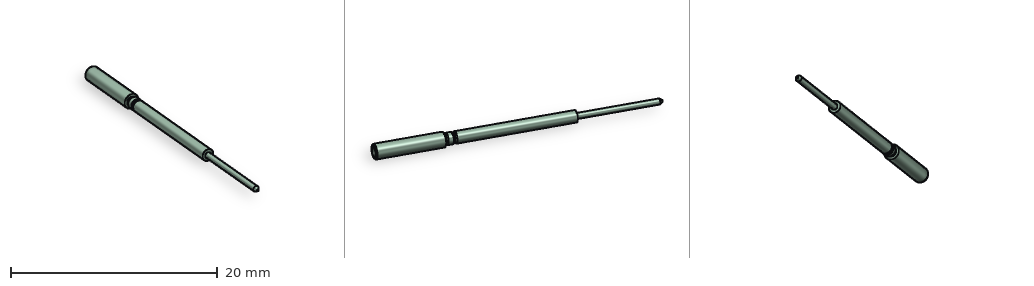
import cadquery as cq
import math

total_length = 29.77
sleeve_length = 7.17
neck_length = 0.2
shoulder_length = 0.15
band_length = 0.55
body_end = 20.85
tip_length = 0.33

sleeve_diameter = 1.58
body_diameter = 1.25
neck_diameter = 1.0
pin_diameter = 0.63
tip_diameter = 0.2

rim_chamfer = 0.12
bore_diameter = 0.98
bore_depth = 5.95
drill_point_angle = 118.0

x_start = -total_length / 2
sleeve_radius = sleeve_diameter / 2
body_radius = body_diameter / 2
neck_radius = neck_diameter / 2
pin_radius = pin_diameter / 2
tip_radius = tip_diameter / 2
bore_radius = bore_diameter / 2


def neck_profile(start):
    """Points of a straight neck followed by a conical shoulder up to the body diameter."""
    shoulder_start = start + neck_length
    return [
        (start, neck_radius),
        (shoulder_start, neck_radius),
        (shoulder_start + shoulder_length, body_radius),
    ]


def revolve_about_x(points):
    """Solid of revolution whose profile is given as (distance from the open end, radius)."""
    return (
        cq.Workplane("XY")
        .polyline(points)
        .close()
        .revolve(360, (0, 0, 0), (1, 0, 0))
        .translate((x_start, 0, 0))
    )


band_end = sleeve_length + neck_length + shoulder_length + band_length
outer_profile = [
    (0, 0),
    (0, sleeve_radius),
    (sleeve_length, sleeve_radius),
    *neck_profile(sleeve_length),
    (band_end, body_radius),
    *neck_profile(band_end),
    (body_end, body_radius),
    (body_end, pin_radius),
    (total_length - tip_length, pin_radius),
    (total_length, tip_radius),
    (total_length, 0),
]

drill_point_length = bore_radius / math.tan(math.radians(drill_point_angle / 2))
bore_profile = [
    (0, 0),
    (0, bore_radius),
    (bore_depth, bore_radius),
    (bore_depth + drill_point_length, 0),
]

outer_shape = revolve_about_x(outer_profile).faces("<X").edges().chamfer(rim_chamfer)
result = outer_shape.cut(revolve_about_x(bore_profile))